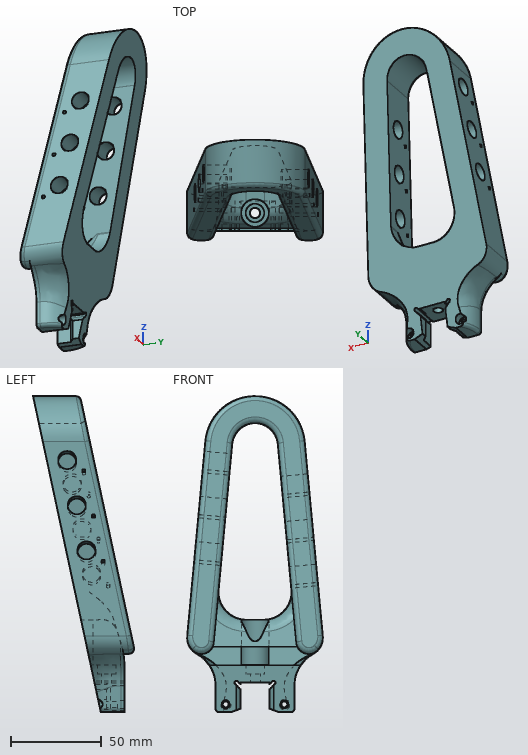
import cadquery as cq
import math

TOTAL_HEIGHT = 173.82
FAR = 100.0
MARGIN = 1.0

LEAN = math.radians(12.1)
BACK_FOOT_Y = 13.12
SLAB_DEPTH_Y = 25.97

TOTAL_WIDTH = 74.77
ARCH_RADIUS = 27.5
CORNER_RADIUS = 10.0
CORNER_X = TOTAL_WIDTH / 2 - CORNER_RADIUS
CORNER_Z = 41.0
LEG_WIDTH = 15.0
LEG_END_RADIUS = 7.0
LEG_FRONT_FILLET = 3.0

WEB_TOP_Z = 70.0
WEB_BEND_START_Z = 25.8
WEB_BEND_END_Z = 36.1
WEB_LEAN = math.radians(17.0)
OPENING_HALF_WIDTH = 20.0
OPENING_CORNER_RADIUS = 15.0
OPENING_FLOOR_Z = 50.9
OPENING_FILLET = 9.0
NECK_HALF_WIDTH = 21.75
NECK_FLAT_DEPTH = 2.1
NECK_SIDE_RADIUS = 19.0
NECK_FILLET = 20.0

NOTCH_TOP_Z = 16.2
NOTCH_FRONT_HALF_WIDTH = 10.2
NOTCH_BACK_HALF_WIDTH = 7.9
NOTCH_STEP_Y = 7.8
RELIEF_RADIUS = 1.0
RELIEF_LENGTH = 5.0
RELIEF_ANGLE = 45.0
TAB_CORNER_FILLET = 2.0
TAB_SLOPE_START_X = 13.0
TAB_SLOPE_RISE = 1.9

TAB_HOLE_X = 16.15
TAB_HOLE_Z = 4.3
TAB_HOLE_RADIUS = 1.6
TAB_FRONT_BORE_RADIUS = 2.2
TAB_FRONT_BORE_DEPTH = 4.0
TAB_BACK_BORE_RADIUS = 2.8
TAB_BACK_BORE_START_Y = 10.0

BOLT_Y = 10.0
BOLT_STEPS = [(7.6, 26.0), (5.1, 21.0), (2.75, 0.0)]

CROSS_HOLE_COUNT = 3
CROSS_HOLE_RADIUS = 5.0
CROSS_HOLE_PITCH = 25.4
CROSS_HOLE_TOP_Z = 138.6
CROSS_HOLE_FROM_BACK_Y = 11.24
RIGHT_LEG_STAGGER = CROSS_HOLE_PITCH / 2
PIN_HOLE_RADIUS = 0.9
PIN_HOLE_OFFSET = 7.7

ARCH_Z = TOTAL_HEIGHT - ARCH_RADIUS
CORNER_DROP = ARCH_Z - CORNER_Z
CENTRE_DISTANCE = math.hypot(CORNER_X, CORNER_DROP)
LEG_ANGLE = math.atan2(CORNER_X, CORNER_DROP) - math.asin((ARCH_RADIUS - CORNER_RADIUS) / CENTRE_DISTANCE)
LEG_COS = math.cos(LEG_ANGLE)
LEG_SIN = math.sin(LEG_ANGLE)

END_ACROSS = LEG_END_RADIUS + CORNER_RADIUS - LEG_WIDTH
END_ALONG = math.sqrt((CORNER_RADIUS - LEG_END_RADIUS) ** 2 - END_ACROSS**2)
END_X = CORNER_X + END_ACROSS * LEG_COS + END_ALONG * LEG_SIN
END_Z = CORNER_Z + END_ACROSS * LEG_SIN - END_ALONG * LEG_COS


def back_y(z):
    """Y of the leaning back plane at height z."""
    return BACK_FOOT_Y + z * math.tan(LEAN)


def on_circle(centre_x, centre_v, radius, angle):
    """Point on a circle in a plane whose first axis is X."""
    return (centre_x + radius * math.cos(angle), centre_v + radius * math.sin(angle))


def mirrored(point):
    return (-point[0], point[1])


def extrude_y(outline):
    """Extrude a closed XZ outline through the full depth, front and back."""
    return outline.extrude(FAR, both=True)


def leg_loop_outline():
    inner_radius = ARCH_RADIUS - LEG_WIDTH
    meet_angle = math.atan2(END_Z - CORNER_Z, END_X - CORNER_X)
    outer_top = on_circle(0, ARCH_Z, ARCH_RADIUS, LEG_ANGLE)
    outer_low = on_circle(CORNER_X, CORNER_Z, CORNER_RADIUS, LEG_ANGLE)
    corner_mid = on_circle(CORNER_X, CORNER_Z, CORNER_RADIUS, (LEG_ANGLE + meet_angle) / 2)
    corner_end = on_circle(CORNER_X, CORNER_Z, CORNER_RADIUS, meet_angle)
    end_mid = on_circle(END_X, END_Z, LEG_END_RADIUS, (meet_angle + LEG_ANGLE - math.pi) / 2)
    end_inner = on_circle(END_X, END_Z, LEG_END_RADIUS, LEG_ANGLE - math.pi)
    inner_top = on_circle(0, ARCH_Z, inner_radius, LEG_ANGLE)
    return (
        cq.Workplane("XZ")
        .moveTo(*mirrored(outer_top))
        .threePointArc((0, TOTAL_HEIGHT), outer_top)
        .lineTo(*outer_low)
        .threePointArc(corner_mid, corner_end)
        .threePointArc(end_mid, end_inner)
        .lineTo(*inner_top)
        .threePointArc((0, ARCH_Z + inner_radius), mirrored(inner_top))
        .lineTo(*mirrored(end_inner))
        .threePointArc(mirrored(end_mid), mirrored(corner_end))
        .threePointArc(mirrored(corner_mid), mirrored(outer_low))
        .close()
    )


def leaning_slab(depth_y):
    """Slab in front of the leaning back plane, depth_y thick along Y."""
    low = -FAR
    high = TOTAL_HEIGHT + FAR
    outline = [
        (back_y(low) - depth_y, low),
        (back_y(low), low),
        (back_y(high), high),
        (back_y(high) - depth_y, high),
    ]
    return cq.Workplane("YZ").polyline(outline).close().extrude(FAR, both=True)


def leg_loop():
    loop = extrude_y(leg_loop_outline()).intersect(leaning_slab(SLAB_DEPTH_Y))
    toward_front = cq.Vector(0, -math.cos(LEAN), math.sin(LEAN))
    front_face = loop.faces(cq.selectors.DirectionMinMaxSelector(toward_front, True))
    return front_face.edges().fillet(LEG_FRONT_FILLET)


def web_blank():
    """Plate between the legs standing on the neck, whose sides flare into the plate's corners."""
    outer_low = on_circle(CORNER_X, CORNER_Z, CORNER_RADIUS, LEG_ANGLE)
    corner_mid = on_circle(CORNER_X, CORNER_Z, CORNER_RADIUS, -math.pi / 4)
    bottom = (CORNER_X, CORNER_Z - CORNER_RADIUS)
    top = (outer_low[0] - (WEB_TOP_Z - outer_low[1]) * math.tan(LEG_ANGLE), WEB_TOP_Z)
    plate = extrude_y(
        cq.Workplane("XZ")
        .moveTo(*mirrored(top))
        .lineTo(*top)
        .lineTo(*outer_low)
        .threePointArc(corner_mid, bottom)
        .lineTo(*mirrored(bottom))
        .threePointArc(mirrored(corner_mid), mirrored(outer_low))
        .close()
    )
    side_x = NECK_HALF_WIDTH - NECK_SIDE_RADIUS
    side_back_y = NECK_FLAT_DEPTH + NECK_SIDE_RADIUS
    side_mid = on_circle(side_x, NECK_FLAT_DEPTH, NECK_SIDE_RADIUS, math.pi / 4)
    neck = (
        cq.Workplane("XY")
        .moveTo(-NECK_HALF_WIDTH, -FAR)
        .lineTo(NECK_HALF_WIDTH, -FAR)
        .lineTo(NECK_HALF_WIDTH, NECK_FLAT_DEPTH)
        .threePointArc(side_mid, (side_x, side_back_y))
        .lineTo(-side_x, side_back_y)
        .threePointArc(mirrored(side_mid), (-NECK_HALF_WIDTH, NECK_FLAT_DEPTH))
        .close()
        .extrude(CORNER_Z)
    )
    joined = plate.union(neck)
    root_level = bottom[1]
    root = cq.selectors.BoxSelector(
        (-NECK_HALF_WIDTH - MARGIN, MARGIN - FAR, root_level - MARGIN),
        (NECK_HALF_WIDTH + MARGIN, FAR - MARGIN, root_level + MARGIN),
    )
    return joined.edges(root).fillet(NECK_FILLET)


def behind_web_front():
    """Everything behind the web's front: upright tab face, bend, then the leaning upper face."""
    bend_radius = (WEB_BEND_END_Z - WEB_BEND_START_Z) / math.sin(WEB_LEAN)
    bend_mid = (
        bend_radius * (1 - math.cos(WEB_LEAN / 2)),
        WEB_BEND_START_Z + bend_radius * math.sin(WEB_LEAN / 2),
    )
    bend_end = (bend_radius * (1 - math.cos(WEB_LEAN)), WEB_BEND_END_Z)
    top = (bend_end[0] + (FAR - WEB_BEND_END_Z) * math.tan(WEB_LEAN), FAR)
    return (
        cq.Workplane("YZ")
        .moveTo(0, -MARGIN)
        .lineTo(0, WEB_BEND_START_Z)
        .threePointArc(bend_mid, bend_end)
        .lineTo(*top)
        .lineTo(2 * FAR, FAR)
        .lineTo(2 * FAR, -MARGIN)
        .close()
        .extrude(FAR, both=True)
    )


def cut_opening(body):
    """U-shaped opening above the web, with its front edge rounded."""
    corner_x = OPENING_HALF_WIDTH - OPENING_CORNER_RADIUS
    corner_z = OPENING_FLOOR_Z + OPENING_CORNER_RADIUS
    corner_mid = on_circle(corner_x, corner_z, OPENING_CORNER_RADIUS, -math.pi / 4)
    opening = extrude_y(
        cq.Workplane("XZ")
        .moveTo(-OPENING_HALF_WIDTH, FAR)
        .lineTo(-OPENING_HALF_WIDTH, corner_z)
        .threePointArc(mirrored(corner_mid), (-corner_x, OPENING_FLOOR_Z))
        .lineTo(corner_x, OPENING_FLOOR_Z)
        .threePointArc(corner_mid, (OPENING_HALF_WIDTH, corner_z))
        .lineTo(OPENING_HALF_WIDTH, FAR)
        .close()
    )
    body = body.cut(opening)
    floor_front = cq.selectors.NearestToPointSelector((0, 0, OPENING_FLOOR_Z))
    return body.edges(floor_front).fillet(OPENING_FILLET)


def cut_notch(body):
    """Stepped notch from below, with a 45 degree relief slot in each upper corner."""
    step = NOTCH_FRONT_HALF_WIDTH - NOTCH_BACK_HALF_WIDTH
    half_outline = [
        (NOTCH_FRONT_HALF_WIDTH, -FAR),
        (NOTCH_FRONT_HALF_WIDTH, NOTCH_STEP_Y),
        (NOTCH_BACK_HALF_WIDTH, NOTCH_STEP_Y + step),
        (NOTCH_BACK_HALF_WIDTH, FAR),
    ]
    outline = half_outline + [mirrored(point) for point in reversed(half_outline)]
    body = body.cut(cq.Workplane("XY").polyline(outline).close().extrude(NOTCH_TOP_Z))
    reach = RELIEF_LENGTH / 2 * math.cos(math.radians(RELIEF_ANGLE))
    for side in (-1, 1):
        relief = extrude_y(
            cq.Workplane("XZ")
            .center(side * (NOTCH_FRONT_HALF_WIDTH - reach), NOTCH_TOP_Z - reach)
            .slot2D(RELIEF_LENGTH + 2 * RELIEF_RADIUS, 2 * RELIEF_RADIUS, side * RELIEF_ANGLE)
        )
        body = body.cut(relief)
    return body


def trim_tab_corners(body):
    """Round the outer lower corner of each tab and slope off the inner one."""
    for side in (-1, 1):
        slope = extrude_y(
            cq.Workplane("XZ")
            .moveTo(side * TAB_SLOPE_START_X, 0)
            .lineTo(side * NOTCH_BACK_HALF_WIDTH, TAB_SLOPE_RISE)
            .lineTo(side * NOTCH_BACK_HALF_WIDTH, 0)
            .close()
        )
        body = body.cut(slope)
    outer_limit = NECK_HALF_WIDTH - TAB_CORNER_FILLET
    outer_edges = body.faces("<Z").edges().filter(lambda edge: abs(edge.Center().x) > outer_limit)
    return body.newObject(outer_edges.vals()).fillet(TAB_CORNER_FILLET)


def web():
    body = web_blank().intersect(behind_web_front()).intersect(leaning_slab(FAR))
    return trim_tab_corners(cut_notch(cut_opening(body)))


def cut_tab_holes(body):
    """Screw hole through each tab, widened at the front and at the back."""
    for side in (-1, 1):

        def bore(radius, start_y, length):
            centre = cq.Vector(side * TAB_HOLE_X, start_y, TAB_HOLE_Z)
            return cq.Workplane(cq.Solid.makeCylinder(radius, length, centre, cq.Vector(0, 1, 0)))

        body = body.cut(bore(TAB_HOLE_RADIUS, -MARGIN, FAR))
        body = body.cut(bore(TAB_FRONT_BORE_RADIUS, 0, TAB_FRONT_BORE_DEPTH))
        body = body.cut(bore(TAB_BACK_BORE_RADIUS, TAB_BACK_BORE_START_Y, FAR))
    return body


def cut_bolt_hole(body):
    for radius, floor_z in BOLT_STEPS:
        step = cq.Workplane("XY", origin=(0, BOLT_Y, floor_z)).circle(radius)
        body = body.cut(step.extrude(OPENING_FLOOR_Z + MARGIN - floor_z))
    return body


def leg_side_x(z):
    """Half width of the loop across its straight outer faces."""
    return ARCH_RADIUS / LEG_COS + (ARCH_Z - z) * math.tan(LEG_ANGLE)


def cut_cross_holes(body):
    """Row of cross holes with small pin holes in each leg, the right row half a pitch lower."""
    drop_z = math.cos(LEAN)
    drop_y = math.sin(LEAN)
    for side, stagger in ((-1, 0), (1, RIGHT_LEG_STAGGER)):
        inward = cq.Vector(-side * LEG_COS, 0, -LEG_SIN)

        def drill(radius, y, z):
            start = cq.Vector(side * leg_side_x(z), y, z) - inward * MARGIN
            return cq.Workplane(cq.Solid.makeCylinder(radius, LEG_WIDTH + 2 * MARGIN, start, inward))

        for index in range(CROSS_HOLE_COUNT):
            down = stagger + index * CROSS_HOLE_PITCH
            z = CROSS_HOLE_TOP_Z - down * drop_z
            y = back_y(z) - CROSS_HOLE_FROM_BACK_Y
            pin_y = y - PIN_HOLE_OFFSET * (drop_y + drop_z)
            pin_z = z - PIN_HOLE_OFFSET * (drop_z - drop_y)
            body = body.cut(drill(CROSS_HOLE_RADIUS, y, z))
            body = body.cut(drill(PIN_HOLE_RADIUS, pin_y, pin_z))
    return body


handle = leg_loop().union(web())
handle = cut_tab_holes(handle)
handle = cut_bolt_hole(handle)
result = cut_cross_holes(handle)